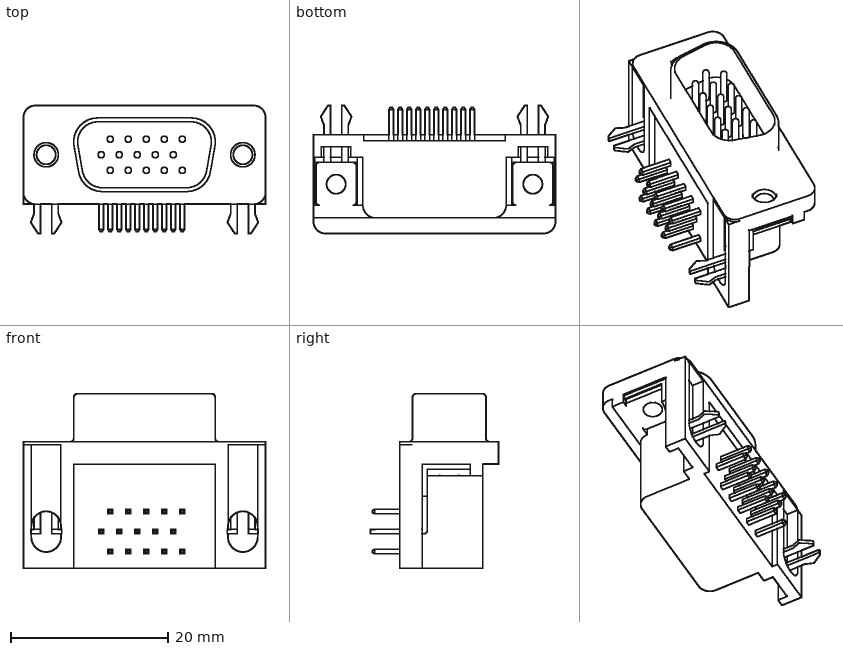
import cadquery as cq
import math

WIDTH = 30.81
OVERLAP = 0.3

PLATE_TOP = 16.1
PLATE_THICKNESS = 0.4
FLANGE_TOP = PLATE_TOP - PLATE_THICKNESS
FLANGE_BOTTOM = 13.26
FLANGE_DEPTH = 12.57
CORNER_RADIUS = 1.55

WALL_THICKNESS = 2.85
BODY_BACK = 10.57
BODY_WIDTH = 18.2
BODY_CORNER_RADIUS = 1.6
RIB_FRONT = 8.95
RIB_BOTTOM = 11.8
PANEL_WIDTH = 18.0
PANEL_DEPTH = 0.76

SHELL_TOP = 22.22
SHELL_CENTER_Y = 6.29
SHELL_DEPTH = 9.36
SHELL_MID_WIDTH = 17.52
SHELL_SIDE_ANGLE = 10
SHELL_RADIUS = 3.05
SHELL_THICKNESS = 0.5
SHELL_EDGE_RADIUS = 0.49
SHELL_FOOT_RADIUS = 0.45
SHELL_FLOOR = FLANGE_TOP

MOUNT_X = 12.5
MOUNT_Y = SHELL_CENTER_Y
SCREW_DIAMETER = 2.4
RECESS_DIAMETER = 3.1
RECESS_DEPTH = 1.25
RECESS_CONE_DEPTH = 0.38
RECESS_LIP_RADIUS = 0.47

CHANNEL_WIDTH = 3.74
CHANNEL_DEPTH = 1.55
WINDOW_BOTTOM = 2.1
WINDOW_TOP = 7.24

STRAP_THICKNESS = 0.68
STRAP_WIDTH = 5.4
STRAP_SHOULDER_BOTTOM = 8.0
STRAP_SLOT_TOP = 9.0
STRAP_BEND_RADIUS = 0.55
LOCK_WIDTH = 3.1
LOCK_GAP = 1.38
LOCK_BOTTOM = 4.37
LOCK_THICKNESS = 0.59
LOCK_LENGTH = 3.73
LOCK_NECK_LENGTH = 1.2
LOCK_BARB_LENGTH = 2.3
LOCK_BARB_REACH = 0.42
LOCK_TIP_WIDTH = 0.35
LOCK_CORNER_RADIUS = 0.15

NUT_FRONT = WALL_THICKNESS + STRAP_THICKNESS
NUT_WIDTH = 5.1
NUT_CORNER_RADIUS = 0.4

PITCH = 2.29
ROW_LENGTH = 5
OUTER_ROW_X = 0.22
ROW_OFFSETS = (OUTER_ROW_X, OUTER_ROW_X - PITCH / 2, OUTER_ROW_X)
CONTACT_ROW_SPACING = 1.98
CONTACT_DIAMETER = 0.8
CONTACT_TOP = 20.9
TAIL_SIZE = 0.6
TAIL_TIP_SIZE = 0.25
TAIL_LENGTH = 3.48
TAIL_TAPER = 0.31
TAIL_MIDDLE_Z = 4.68
TAIL_ROW_SPACING = 2.54


def block(x_center, width, y_front, y_back, z_bottom, z_top):
    """Box given by its X center and width and its Y and Z limits."""
    return cq.Workplane("XY").box(width, y_back - y_front, z_top - z_bottom).translate(
        (x_center, (y_front + y_back) / 2, (z_bottom + z_top) / 2)
    )


def make_housing():
    flange = block(0, WIDTH, 0, FLANGE_DEPTH, FLANGE_BOTTOM, FLANGE_TOP)
    flange = flange.edges("|Z and >Y").fillet(CORNER_RADIUS)
    plate = block(0, WIDTH, 0, FLANGE_DEPTH, FLANGE_TOP, PLATE_TOP)
    plate = plate.edges("|Z").fillet(CORNER_RADIUS)
    wall = block(0, WIDTH, 0, WALL_THICKNESS, 0, FLANGE_BOTTOM)
    body = block(0, BODY_WIDTH, 0, BODY_BACK, 0, FLANGE_BOTTOM)
    body = body.edges("|Z and >Y").fillet(BODY_CORNER_RADIUS)
    rib = block(0, WIDTH, RIB_FRONT, BODY_BACK, RIB_BOTTOM, FLANGE_BOTTOM)
    panel_recess = block(0, PANEL_WIDTH, 0, PANEL_DEPTH, 0, FLANGE_BOTTOM)
    return flange.union(plate).union(wall).union(body).union(rib).cut(panel_recess)


def shell_prism(inset, z_bottom, z_top):
    """Rounded trapezoid, moved inward by inset, from z_bottom to z_top."""
    half_depth = SHELL_DEPTH / 2
    spread = half_depth * math.tan(math.radians(SHELL_SIDE_ANGLE))
    half_back = SHELL_MID_WIDTH / 2 + spread
    half_front = SHELL_MID_WIDTH / 2 - spread
    outline = [
        (-half_front, -half_depth),
        (half_front, -half_depth),
        (half_back, half_depth),
        (-half_back, half_depth),
    ]
    trapezoid = cq.Workplane("XY").polyline(outline).close()
    if inset > 0:
        trapezoid = trapezoid.offset2D(-inset)
    prism = trapezoid.extrude(z_top - z_bottom).edges("|Z").fillet(SHELL_RADIUS - inset)
    return prism.translate((0, SHELL_CENTER_Y, z_bottom))


def add_shell(part):
    shell = shell_prism(0, PLATE_TOP, SHELL_TOP).faces(">Z").edges().fillet(SHELL_EDGE_RADIUS)
    part = part.union(shell)
    half_width = SHELL_MID_WIDTH / 2 + OVERLAP
    half_depth = SHELL_DEPTH / 2 + OVERLAP
    foot_region = cq.selectors.BoxSelector(
        (-half_width, SHELL_CENTER_Y - half_depth, PLATE_TOP - OVERLAP),
        (half_width, SHELL_CENTER_Y + half_depth, PLATE_TOP + OVERLAP),
    )
    part = part.edges(foot_region).fillet(SHELL_FOOT_RADIUS)
    return part.cut(shell_prism(SHELL_THICKNESS, SHELL_FLOOR, SHELL_TOP))


def channel_cut(x):
    """Channel in the board-side wall, ending in a window that is open downward behind."""
    radius = CHANNEL_WIDTH / 2
    low_center = WINDOW_BOTTOM + radius
    window = (
        cq.Workplane("XZ")
        .center(x, (WINDOW_BOTTOM + WINDOW_TOP) / 2)
        .slot2D(WINDOW_TOP - WINDOW_BOTTOM, CHANNEL_WIDTH, 90)
        .extrude(-WALL_THICKNESS)
    )
    channel = block(x, CHANNEL_WIDTH, 0, CHANNEL_DEPTH, low_center, FLANGE_TOP)
    rear_opening = block(x, CHANNEL_WIDTH, CHANNEL_DEPTH, WALL_THICKNESS, 0, low_center)
    return window.union(channel).union(rear_opening)


def lock_prong(side):
    """One barbed prong, lying on the outer side (+1 or -1) of the lock gap."""
    inner = LOCK_GAP / 2
    outer = LOCK_WIDTH / 2
    outline = [
        (side * inner, NUT_FRONT),
        (side * outer, NUT_FRONT),
        (side * outer, -LOCK_NECK_LENGTH),
        (side * (outer + LOCK_BARB_REACH), -LOCK_BARB_LENGTH),
        (side * (inner + LOCK_TIP_WIDTH), -LOCK_LENGTH),
        (side * inner, -LOCK_LENGTH),
    ]
    prong = cq.Workplane("XY").polyline(outline).close().extrude(LOCK_THICKNESS)
    barb_edges = cq.selectors.BoxSelector(
        (side * (inner + LOCK_TIP_WIDTH / 2), 0, 0),
        (side * LOCK_WIDTH, -LOCK_LENGTH - OVERLAP, LOCK_THICKNESS),
    )
    prong = prong.edges(barb_edges).edges("|Z").fillet(LOCK_CORNER_RADIUS)
    return prong.translate((0, 0, LOCK_BOTTOM))


def make_board_lock(x):
    """Bent strap with two prongs below the flange, and its nut."""
    half_strap = STRAP_WIDTH / 2
    half_lock = LOCK_WIDTH / 2
    shoulder = half_strap - half_lock
    shoulder_top = STRAP_SHOULDER_BOTTOM + shoulder
    leg = block(0, STRAP_WIDTH, WALL_THICKNESS, RIB_FRONT, FLANGE_BOTTOM - STRAP_THICKNESS, FLANGE_BOTTOM)
    upright = (
        cq.Workplane("XZ", origin=(0, WALL_THICKNESS, 0))
        .moveTo(-half_lock, LOCK_BOTTOM)
        .lineTo(half_lock, LOCK_BOTTOM)
        .lineTo(half_lock, STRAP_SHOULDER_BOTTOM)
        .radiusArc((half_strap, shoulder_top), shoulder)
        .lineTo(half_strap, FLANGE_BOTTOM)
        .lineTo(-half_strap, FLANGE_BOTTOM)
        .lineTo(-half_strap, shoulder_top)
        .radiusArc((-half_lock, STRAP_SHOULDER_BOTTOM), shoulder)
        .close()
        .extrude(-STRAP_THICKNESS)
    )
    lock = leg.union(upright).union(lock_prong(-1)).union(lock_prong(1))
    lock = lock.cut(block(0, LOCK_GAP, 0, NUT_FRONT, LOCK_BOTTOM, STRAP_SLOT_TOP))
    bend_edges = cq.selectors.BoxSelector(
        (-half_lock - OVERLAP, NUT_FRONT - OVERLAP, LOCK_BOTTOM - OVERLAP),
        (half_lock + OVERLAP, NUT_FRONT + OVERLAP, LOCK_BOTTOM + OVERLAP),
    )
    lock = lock.edges(bend_edges).edges("|X").fillet(STRAP_BEND_RADIUS)
    nut = block(0, NUT_WIDTH, NUT_FRONT, RIB_FRONT, RIB_BOTTOM, FLANGE_BOTTOM)
    nut = nut.edges("|Z").fillet(NUT_CORNER_RADIUS)
    return lock.union(nut).translate((x, 0, 0))


def mount_hole(x):
    """Screw clearance below a wider recess with a round lip and a conical bottom."""
    radius = RECESS_DIAMETER / 2
    lip = radius + RECESS_LIP_RADIUS
    wall_bottom = PLATE_TOP - RECESS_DEPTH
    profile = (
        cq.Workplane("XZ")
        .lineTo(SCREW_DIAMETER / 2, 0)
        .lineTo(SCREW_DIAMETER / 2, wall_bottom - RECESS_CONE_DEPTH)
        .lineTo(radius, wall_bottom)
        .lineTo(radius, PLATE_TOP - RECESS_LIP_RADIUS)
        .radiusArc((lip, PLATE_TOP), RECESS_LIP_RADIUS)
        .lineTo(0, PLATE_TOP)
        .close()
    )
    return profile.revolve(360, (0, 0, 0), (0, 1, 0)).translate((x, MOUNT_Y, 0))


def make_contact(x, y):
    """Round contact with a ball end, standing on the shell floor."""
    radius = CONTACT_DIAMETER / 2
    base = SHELL_FLOOR - OVERLAP
    profile = (
        cq.Workplane("XZ")
        .lineTo(radius, 0)
        .lineTo(radius, CONTACT_TOP - radius - base)
        .radiusArc((0, CONTACT_TOP - base), -radius)
        .close()
    )
    return profile.revolve(360, (0, 0, 0), (0, 1, 0)).translate((x, y, base))


def make_tail(x, z):
    """Square solder tail with a pyramid-shaped end."""
    straight_end = -(TAIL_LENGTH - TAIL_TAPER)
    shank = block(x, TAIL_SIZE, straight_end, PANEL_DEPTH + OVERLAP, z - TAIL_SIZE / 2, z + TAIL_SIZE / 2)
    tip = (
        cq.Workplane("XZ", origin=(x, straight_end, z))
        .rect(TAIL_SIZE, TAIL_SIZE)
        .workplane(offset=TAIL_TAPER)
        .rect(TAIL_TIP_SIZE, TAIL_TIP_SIZE)
        .loft()
    )
    return shank.union(tip)


def add_contacts(part):
    for row, x_offset in enumerate(ROW_OFFSETS):
        y = SHELL_CENTER_Y + (row - 1) * CONTACT_ROW_SPACING
        z = TAIL_MIDDLE_Z + (row - 1) * TAIL_ROW_SPACING
        for column in range(ROW_LENGTH):
            x = x_offset + (column - (ROW_LENGTH - 1) / 2) * PITCH
            part = part.union(make_contact(x, y)).union(make_tail(x, z))
    return part


result = add_shell(make_housing())
for mount_x in (-MOUNT_X, MOUNT_X):
    result = result.cut(channel_cut(mount_x))
    result = result.union(make_board_lock(mount_x))
    result = result.cut(mount_hole(mount_x))
result = add_contacts(result)